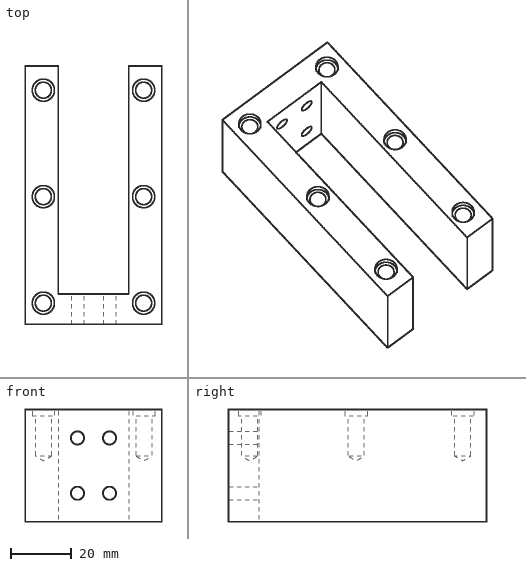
import cadquery as cq
import math

width = 45.0
length = 85.0
height = 37.0

slot_width = 23.0
web_thickness = 10.0

screw_spacing_x = 33.0
screw_spacing_y = 35.0
first_screw_y = 7.0
screws_per_wall = 3
counterbore_diameter = 7.3
counterbore_depth = 2.0
screw_diameter = 5.3
screw_depth = 15.3
drill_tip_angle = 118.0
full_turn = 360

web_hole_diameter = 4.25
web_hole_spacing_x = 10.5
web_hole_spacing_z = 18.2
web_hole_centre_z = height / 2
web_hole_columns = 2
web_hole_rows = 2


def make_body():
    """U-shaped block: a plain block with the slot removed."""
    block = cq.Workplane("XY").box(width, length, height, centered=(True, False, False))
    slot = (
        cq.Workplane("XY")
        .box(slot_width, length - web_thickness, height, centered=(True, False, False))
        .translate((0, web_thickness, 0))
    )
    return block.cut(slot)


def make_screw_hole():
    """Cutter for one counterbored hole with a drill tip, its mouth at the origin, pointing down."""
    bore_radius = counterbore_diameter / 2
    screw_radius = screw_diameter / 2
    tip_length = screw_radius / math.tan(math.radians(drill_tip_angle / 2))
    profile = (
        cq.Workplane("XZ")
        .lineTo(bore_radius, 0)
        .lineTo(bore_radius, -counterbore_depth)
        .lineTo(screw_radius, -counterbore_depth)
        .lineTo(screw_radius, -screw_depth)
        .lineTo(0, -screw_depth - tip_length)
        .close()
    )
    return profile.revolve(full_turn, (0, 0, 0), (0, 1, 0))


def cut_screw_holes(body):
    """Drill an even row of screw holes along the top of each side wall."""
    cutter = make_screw_hole()
    for x in (-screw_spacing_x / 2, screw_spacing_x / 2):
        for row in range(screws_per_wall):
            y = first_screw_y + row * screw_spacing_y
            body = body.cut(cutter.translate((x, y, height)))
    return body


def cut_web_holes(body):
    """Drill the rectangular pattern of plain holes through the web."""
    holes = (
        cq.Workplane("XZ", origin=(0, 0, web_hole_centre_z))
        .rarray(web_hole_spacing_x, web_hole_spacing_z, web_hole_columns, web_hole_rows)
        .circle(web_hole_diameter / 2)
        .extrude(-web_thickness)
    )
    return body.cut(holes)


result = cut_web_holes(cut_screw_holes(make_body()))